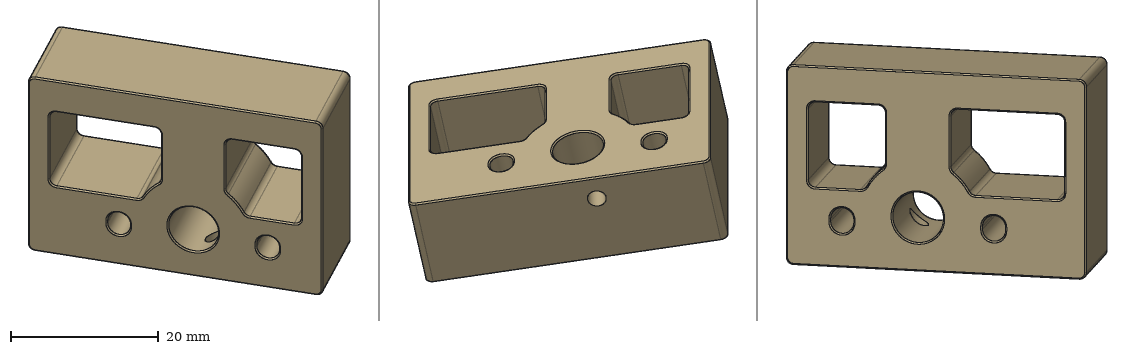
import cadquery as cq

LENGTH = 41.5
DEPTH = 13.5
HEIGHT = 27.8
CORNER_RADIUS = 1.0
EDGE_CHAMFER = 0.2

BORE_X = 2.55
BORE_Z = -6.45
BORE_DIAMETER = 7.0

DRAIN_DIAMETER = 2.55
DRAIN_OFFSET = 2.0
DRAIN_FROM_FRONT = 3.5

OBLONG_SPACING = 21.0
OBLONG_Z = -7.43
OBLONG_WIDTH = 3.2
OBLONG_HEIGHT = 3.55

WINDOW_TOP = 8.9
WINDOW_BOTTOM = -3.0
WINDOW_OUTER_X = 17.7
CENTRE_WEB = 9.05
BORE_WALL_RADIUS = 8.15
WINDOW_CORNER_RADIUS = 1.0


def cutter_at(x, z):
    """Workplane on the mid-depth plane, facing the front, centred at (x, z)."""
    return cq.Workplane("XZ", origin=(x, 0, z))


def make_block():
    block = cq.Workplane("XY").box(LENGTH, DEPTH, HEIGHT)
    return block.edges("|Y").fillet(CORNER_RADIUS)


def make_window(left, right):
    """Through window between two X positions, with rounded corners."""
    height = WINDOW_TOP - WINDOW_BOTTOM
    middle_x = (left + right) / 2
    middle_z = (WINDOW_TOP + WINDOW_BOTTOM) / 2
    window = cutter_at(middle_x, middle_z).rect(right - left, height).extrude(DEPTH / 2, both=True)
    bore_wall = cutter_at(BORE_X, BORE_Z).circle(BORE_WALL_RADIUS).extrude(DEPTH, both=True)
    return window.cut(bore_wall).edges("|Y").fillet(WINDOW_CORNER_RADIUS)


def make_bore():
    return cutter_at(BORE_X, BORE_Z).circle(BORE_DIAMETER / 2).extrude(DEPTH / 2, both=True)


def make_oblong(x):
    oblong = cutter_at(x, OBLONG_Z).slot2D(OBLONG_HEIGHT, OBLONG_WIDTH, 90)
    return oblong.extrude(DEPTH / 2, both=True)


def make_drain():
    """Vertical hole from the height of the bore axis down through the underside."""
    bottom = -HEIGHT / 2
    y = -DEPTH / 2 + DRAIN_FROM_FRONT
    drain = cq.Workplane("XY", origin=(BORE_X + DRAIN_OFFSET, y, bottom))
    return drain.circle(DRAIN_DIAMETER / 2).extrude(BORE_Z - bottom)


body = make_block()
body = body.cut(make_window(-WINDOW_OUTER_X, BORE_X - CENTRE_WEB / 2))
body = body.cut(make_window(BORE_X + CENTRE_WEB / 2, WINDOW_OUTER_X))
body = body.cut(make_bore())
for side in (-1, 1):
    body = body.cut(make_oblong(BORE_X + side * OBLONG_SPACING / 2))

body = body.faces("<Y or >Y").edges().chamfer(EDGE_CHAMFER)

result = body.cut(make_drain())